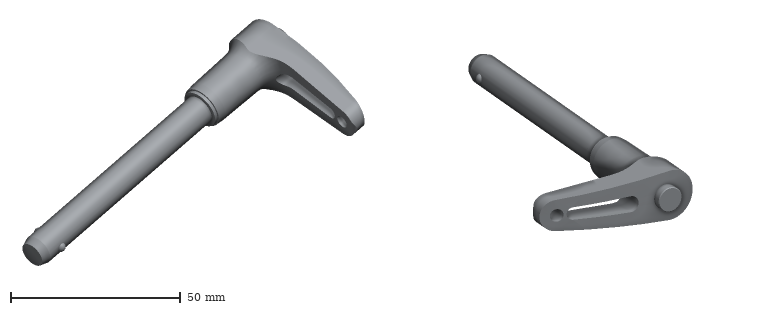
import cadquery as cq
import math


shaft_radius = 4.77
shaft_length = 75.1
nose_length = 2.7
nose_radius = 3.9

ball_radius = 1.6
ball_offset = 4.1
ball_to_pin_end = 7.8

collar_radius = 6.0
collar_length = 1.0
sleeve_end_radius = 6.6
sleeve_shoulder_radius = 6.9
shoulder_y = 3.6
sleeve_top_radius = 7.2
sleeve_top_y = 18.8

button_radius = 3.9
button_top = 37.0
button_chamfer = 0.2

head_radius = 8.0
head_x = -1.7
tip_radius = 5.0
tip_x = 34.8
tip_end_x = tip_x + tip_radius

crest_x = 3.6
crest_y = 34.2
crown_radius = 117.7

arm_bottom_tip_y = 23.7
tip_round = 1.5

flare_radius = 6.8
flare_outer_radius = sleeve_top_radius + flare_radius
flare_top_y = sleeve_top_y + flare_radius

slot_root_x = 11.8
slot_root_radius = 2.6
slot_end_x = 29.8
slot_end_radius = 2.0
hole_radius = 2.0


def tapered_plate(x_large, radius_large, x_small, radius_small):
    """Prism along Y whose outline is two circles joined by their outer tangents."""
    sine = (radius_large - radius_small) / (x_small - x_large)
    cosine = math.sqrt(1 - sine**2)
    large_tangent = (x_large + radius_large * sine, radius_large * cosine)
    small_tangent = (x_small + radius_small * sine, radius_small * cosine)
    return (
        cq.Workplane("XZ")
        .moveTo(*large_tangent)
        .lineTo(*small_tangent)
        .threePointArc((x_small + radius_small, 0), (small_tangent[0], -small_tangent[1]))
        .lineTo(large_tangent[0], -large_tangent[1])
        .threePointArc((x_large - radius_large, 0), large_tangent)
        .close()
        .extrude(-button_top)
    )


def crown_y(x):
    """Height of the gently arched handle top."""
    return crest_y - crown_radius + math.sqrt(crown_radius**2 - (x - crest_x) ** 2)


def handle_arm():
    """Arched side profile, extruded across the handle, with a rounded lower tip."""
    head_end_x = head_x - head_radius
    arm = (
        cq.Workplane("XY")
        .moveTo(head_end_x, crown_y(head_end_x))
        .threePointArc((crest_x, crest_y), (tip_end_x, crown_y(tip_end_x)))
        .lineTo(tip_end_x, arm_bottom_tip_y)
        .lineTo(flare_outer_radius, flare_top_y)
        .lineTo(head_end_x, flare_top_y)
        .close()
        .extrude(head_radius, both=True)
    )
    lower_tip_edge = cq.selectors.NearestToPointSelector((tip_end_x, arm_bottom_tip_y, 0))
    return arm.edges(lower_tip_edge).fillet(tip_round)


def flare():
    """Concave quarter-round revolved about the pin axis."""
    diagonal = flare_radius * math.sqrt(0.5)
    mid_point = (flare_outer_radius - diagonal, sleeve_top_y + diagonal)
    return (
        cq.Workplane("XY")
        .moveTo(0, sleeve_top_y)
        .lineTo(sleeve_top_radius, sleeve_top_y)
        .threePointArc(mid_point, (flare_outer_radius, flare_top_y))
        .lineTo(0, flare_top_y)
        .close()
        .revolve(360, (0, 0, 0), (0, 1, 0))
    )


def handle():
    """Arm and flare trimmed to the plan outline, with the slot and tip hole."""
    outline = tapered_plate(head_x, head_radius, tip_x, tip_radius)
    slot = tapered_plate(slot_root_x, slot_root_radius, slot_end_x, slot_end_radius)
    tip_hole = cq.Workplane("XZ").center(tip_x, 0).circle(hole_radius).extrude(-button_top)
    return handle_arm().union(flare()).intersect(outline).cut(slot).cut(tip_hole)


def turned_core():
    """Shaft, sleeve and push button as one revolved profile."""
    profile = [
        (0, -shaft_length),
        (nose_radius, -shaft_length),
        (shaft_radius, nose_length - shaft_length),
        (shaft_radius, 0),
        (collar_radius, 0),
        (collar_radius, collar_length),
        (sleeve_end_radius, collar_length),
        (sleeve_shoulder_radius, shoulder_y),
        (sleeve_top_radius, sleeve_top_y),
        (button_radius, sleeve_top_y),
        (button_radius, button_top - button_chamfer),
        (button_radius - button_chamfer, button_top),
        (0, button_top),
    ]
    return cq.Workplane("XY").polyline(profile).close().revolve(360, (0, 0, 0), (0, 1, 0))


def locking_balls():
    """Two balls protruding from opposite sides of the shaft."""
    ball_y = ball_to_pin_end - shaft_length
    centers = [(-ball_offset, ball_y), (ball_offset, ball_y)]
    return cq.Workplane("XY").pushPoints(centers).sphere(ball_radius)


result = turned_core().union(handle()).union(locking_balls())